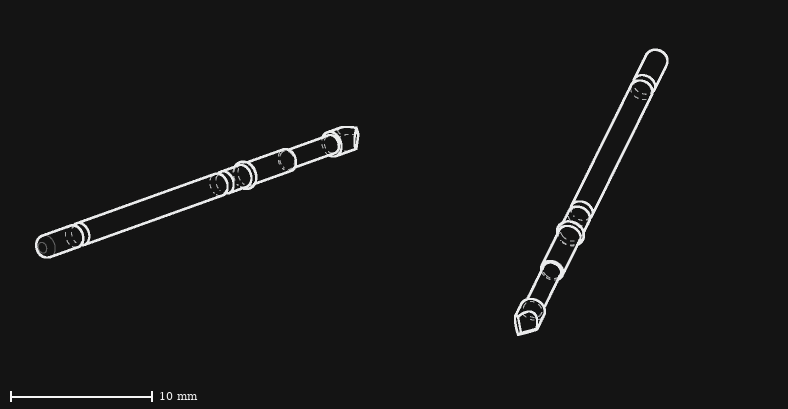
import cadquery as cq
import math

LENGTH = 35.4

HEAD_END = 3.0
BARREL_START = 8.0
COLLAR_CENTRE = 12.75
GROOVE_STARTS = (14.97, 31.15)

HEAD_DIAMETER = 1.8
STEM_DIAMETER = 1.35
BARREL_DIAMETER = 1.63
COLLAR_DIAMETER = 2.0
GROOVE_DIAMETER = 1.35

COLLAR_WIDTH = 0.5
GROOVE_WIDTH = 0.67
END_FILLET = 0.42
TIP_SIDES = 3
TIP_FACE_ANGLE = 30.0

Y_TIP = LENGTH / 2


def revolve_profile(profile):
    """Spin a closed (radius, Y) outline about the Y axis."""
    return profile.close().revolve(360, (0, 0, 0), (0, 1, 0))


def cylinder(diameter, start, end):
    """Cylinder on the axis between two distances from the tip."""
    plane = cq.Workplane("XZ", origin=(0, Y_TIP - start, 0))
    return plane.circle(diameter / 2).extrude(end - start)


def make_tip_pyramid():
    """Three-sided pyramid with one ridge on -X, twice the head's length so only its point trims the head."""
    height = 2 * HEAD_END
    face_radius = height * math.tan(math.radians(TIP_FACE_ANGLE))
    ridge_radius = face_radius / math.cos(math.pi / TIP_SIDES)
    ridge_angles = [math.pi + 2 * math.pi * i / TIP_SIDES for i in range(TIP_SIDES)]
    corners = [(ridge_radius * math.cos(a), ridge_radius * math.sin(a)) for a in ridge_angles]
    points = [cq.Vector(x, Y_TIP - height, z) for x, z in corners]
    apex = cq.Vector(0, Y_TIP, 0)

    outlines = [points]
    for i, point in enumerate(points):
        following = points[(i + 1) % TIP_SIDES]
        outlines.append([point, following, apex])
    faces = [cq.Face.makeFromWires(cq.Wire.makePolygon(outline, close=True)) for outline in outlines]
    return cq.Workplane(cq.Solid.makeSolid(cq.Shell.makeShell(faces)))


def make_head():
    """Cylindrical head cut to a three-sided point."""
    return cylinder(HEAD_DIAMETER, 0, HEAD_END).intersect(make_tip_pyramid())


def make_barrel():
    """Barrel with a square shoulder at the stem and a rounded back end."""
    barrel = cylinder(BARREL_DIAMETER, BARREL_START, LENGTH)
    return barrel.faces("<Y").edges().fillet(END_FILLET)


def make_collar():
    """Rounded press ring around the barrel."""
    y = Y_TIP - COLLAR_CENTRE
    root = BARREL_DIAMETER / 2
    profile = (
        cq.Workplane("XY")
        .moveTo(0, y - COLLAR_WIDTH / 2)
        .lineTo(root, y - COLLAR_WIDTH / 2)
        .threePointArc((COLLAR_DIAMETER / 2, y), (root, y + COLLAR_WIDTH / 2))
        .lineTo(0, y + COLLAR_WIDTH / 2)
    )
    return revolve_profile(profile)


def make_groove(start):
    """Cutter for a round-bottomed groove beginning at a distance from the tip."""
    y_start = Y_TIP - start
    y_end = y_start - GROOVE_WIDTH
    rim = BARREL_DIAMETER / 2
    profile = (
        cq.Workplane("XY")
        .moveTo(rim, y_start)
        .threePointArc((GROOVE_DIAMETER / 2, (y_start + y_end) / 2), (rim, y_end))
    )
    return revolve_profile(profile)


result = make_barrel().union(make_collar())
for groove_start in GROOVE_STARTS:
    result = result.cut(make_groove(groove_start))
result = result.union(cylinder(STEM_DIAMETER, HEAD_END, BARREL_START))
result = result.union(make_head())